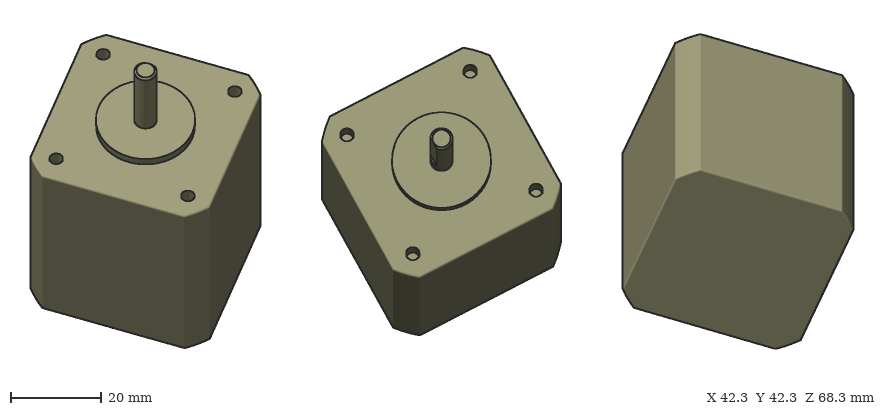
import cadquery as cq

body_width = 42.3
body_height = 48.3
corner_turning_diameter = 54.0
body_edge_radius = 0.5

boss_diameter = 22.0
boss_height = 2.0

shaft_diameter = 5.0
shaft_reach = 20.0
shaft_tip_chamfer = 0.5
flat_depth = 0.5
flat_length = 15.0

hole_diameter = 3.0
hole_spacing = 31.0
hole_depth = 4.5


def make_body():
    square = cq.Workplane("XY").rect(body_width, body_width).extrude(body_height)
    turned = cq.Workplane("XY").circle(corner_turning_diameter / 2).extrude(body_height)
    return square.intersect(turned).edges().fillet(body_edge_radius)


def make_boss():
    front_face = cq.Workplane("XY").workplane(offset=body_height)
    return front_face.circle(boss_diameter / 2).extrude(boss_height)


def make_shaft():
    front_face = cq.Workplane("XY").workplane(offset=body_height)
    shaft = front_face.circle(shaft_diameter / 2).extrude(shaft_reach)
    shaft = shaft.faces(">Z").chamfer(shaft_tip_chamfer)
    flat_start = body_height + shaft_reach - flat_length
    flat_y = shaft_diameter / 2 - flat_depth
    flat_cutter = cq.Workplane("XY").box(
        shaft_diameter, flat_depth, flat_length, centered=(True, False, False)
    )
    return shaft.cut(flat_cutter.translate((0, flat_y, flat_start)))


def make_mounting_holes():
    hole_bottom = cq.Workplane("XY").workplane(offset=body_height - hole_depth)
    centres = hole_bottom.rarray(hole_spacing, hole_spacing, 2, 2)
    return centres.circle(hole_diameter / 2).extrude(hole_depth)


body = make_body().cut(make_mounting_holes())
result = body.union(make_boss()).union(make_shaft())